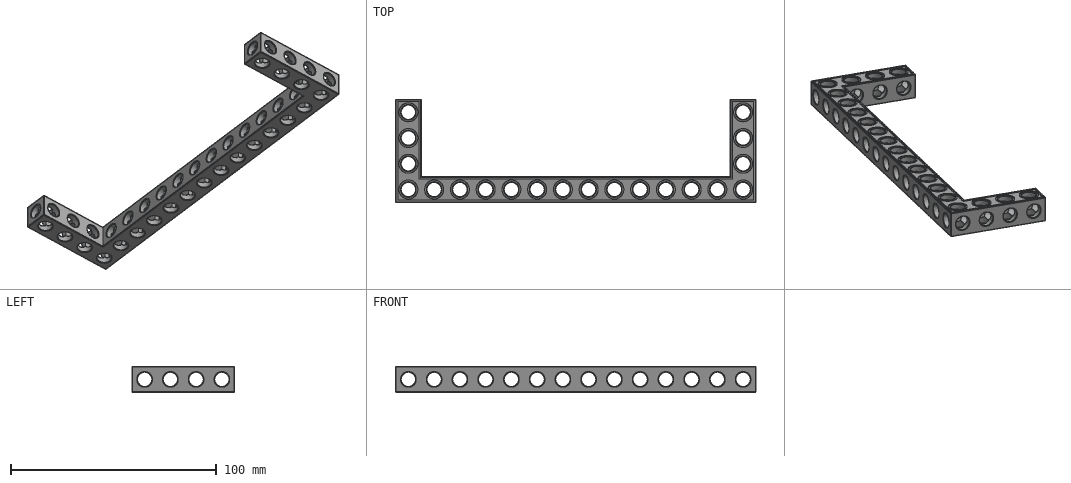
import cadquery as cq

pitch = 12.5
cells_long = 14
cells_arm = 4
length = cells_long * pitch
arm_length = cells_arm * pitch
height = pitch

hole_diameter = 7.0
edge_chamfer = 0.3

rim_inset = 1.1
collar_diameter = 9.2
panel_depth = 0.2


def cell_center(index):
    """Distance of a cell's middle from the outer corner of the frame."""
    return (index + 0.5) * pitch


def cell_centers():
    """Plan position of every cell: the beam first, then the rest of both arms."""
    beam = [(cell_center(i), cell_center(0)) for i in range(cells_long)]
    arms = [
        (cell_center(column), cell_center(row))
        for column in (0, cells_long - 1)
        for row in range(1, cells_arm)
    ]
    return beam + arms


def u_outline(inset):
    """U-shaped outline of the frame, moved inwards from the outer walls by the inset."""
    left = inset
    right = length - inset
    inner_left = pitch - inset
    inner_right = length - pitch + inset
    front = inset
    inner_front = pitch - inset
    back = arm_length - inset
    points = [
        (left, front),
        (right, front),
        (right, back),
        (inner_right, back),
        (inner_right, inner_front),
        (inner_left, inner_front),
        (inner_left, back),
        (left, back),
    ]
    return cq.Workplane("XY").polyline(points).close()


def frame_with_holes():
    """Square bar bent into a U, with a hole along each axis through every cell."""
    frame = u_outline(0).extrude(height)
    hole_radius = hole_diameter / 2
    beam_row = [(cell_center(i), height / 2) for i in range(cells_long)]
    arm_row = [(cell_center(i), height / 2) for i in range(cells_arm)]
    along_x = cq.Workplane("YZ").pushPoints(arm_row).circle(hole_radius).extrude(length)
    along_y = cq.Workplane("XZ").pushPoints(beam_row).circle(hole_radius).extrude(-arm_length)
    along_z = cq.Workplane("XY").pushPoints(cell_centers()).circle(hole_radius).extrude(height)
    return frame.cut(along_x).cut(along_y).cut(along_z)


def is_inner_corner(edge):
    """True for the two vertical edges where the arms meet the beam inside the U."""
    middle = edge.Center()
    corners = [cq.Vector(x, pitch, height / 2) for x in (pitch, length - pitch)]
    return any((middle - corner).Length < edge_chamfer for corner in corners)


def chamfer_walls(frame):
    """Chamfer the hole mouths and all edges of the flat walls, but keep the inner corners sharp."""
    wall_edges = frame.faces("|X or |Y or |Z").edges()
    return wall_edges.filter(lambda edge: not is_inner_corner(edge)).chamfer(edge_chamfer)


def sunk_panel():
    """Cutter for the sunk part of the top face, leaving a collar around each hole."""
    panel = u_outline(rim_inset).extrude(panel_depth)
    collars = cq.Workplane("XY").pushPoints(cell_centers()).circle(collar_diameter / 2).extrude(panel_depth)
    return panel.cut(collars).translate((0, 0, height - panel_depth))


result = chamfer_walls(frame_with_holes()).cut(sunk_panel())